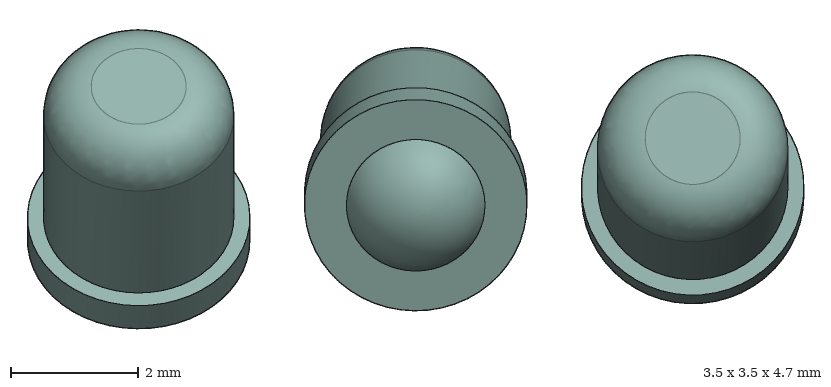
import cadquery as cq

total_height = 4.7
flange_diameter = 3.5
flange_thickness = 0.6
body_diameter = 3.0
crown_radius = 0.75
ball_radius = 1.2
ball_protrusion = 0.7

body_top = total_height - ball_protrusion
ball_center_height = ball_radius - ball_protrusion


def make_flange():
    return cq.Workplane("XY").circle(flange_diameter / 2).extrude(flange_thickness)


def make_body():
    """Cylindrical barrel with a rounded top edge."""
    barrel = cq.Workplane("XY").circle(body_diameter / 2).extrude(body_top)
    return barrel.faces(">Z").edges().fillet(crown_radius)


def make_ball():
    """Ball seated in the barrel, with its lower cap showing below the flange."""
    return cq.Workplane("XY").sphere(ball_radius).translate((0, 0, ball_center_height))


result = make_flange().union(make_body()).union(make_ball())